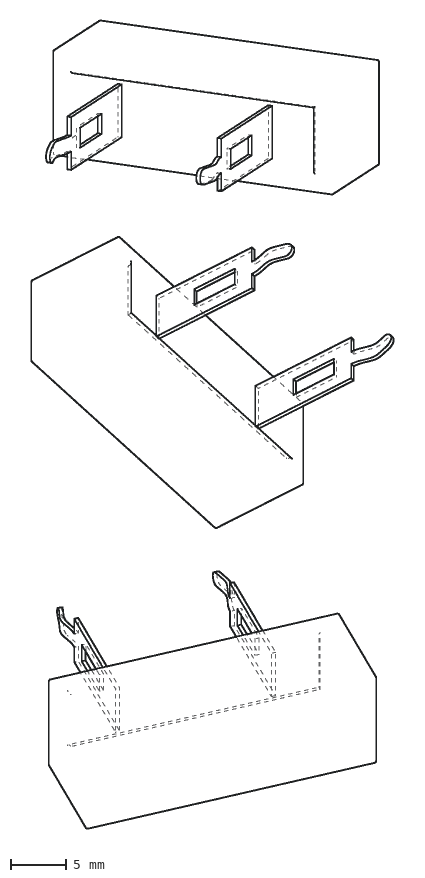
import cadquery as cq

case_length = 28.0
case_depth = 10.0
case_height = 10.0
edge_radius = 0.2

wall_thickness = 2.0
recess_depth = 0.5
recess_floor_radius = 0.08

terminal_spacing = 15.0
terminal_thickness = 0.4
blade_height = 5.0
blade_embedment = 0.28
blade_reach = 10.3
window_start = 3.78
window_length = 4.55
window_height = 1.9

overall_depth = 24.8
tail_height = 1.5
tail_radius = tail_height / 2
tail_reach = overall_depth - case_depth
tail_length = tail_reach - blade_reach
knee_offset = 0.125
knee_position = 0.9
crest_offset = 0.45


def make_case():
    case = (
        cq.Workplane("XY")
        .box(case_length, case_depth, case_height)
        .edges()
        .fillet(edge_radius)
        .translate((0, case_depth / 2, 0))
    )
    recess = (
        cq.Workplane("XY")
        .box(case_length - 2 * wall_thickness, recess_depth, case_height - 2 * wall_thickness)
        .faces(">Y")
        .edges()
        .fillet(recess_floor_radius)
        .translate((0, recess_depth / 2, 0))
    )
    rim = cq.selectors.BoxSelector(
        (-case_length / 2 + edge_radius * 2, -edge_radius / 2, -case_height / 2 + edge_radius * 2),
        (case_length / 2 - edge_radius * 2, edge_radius / 2, case_height / 2 - edge_radius * 2),
    )
    return case.cut(recess).edges(rim).fillet(edge_radius)


def make_blade():
    """Flat windowed plate, centred on X = 0."""
    blade_length = blade_reach + recess_depth + blade_embedment
    window_centre = window_start + window_length / 2
    plate = cq.Workplane("XY").box(terminal_thickness, blade_length, blade_height)
    window = cq.Workplane("XY").box(2 * terminal_thickness, window_length, window_height)
    plate = plate.translate((0, blade_length / 2 - blade_reach, 0))
    return plate.cut(window.translate((0, -window_centre, 0)))


def make_tail():
    """Round-ended strip bulging towards +X, of constant thickness along X."""
    wave = [
        (0, 0),
        (knee_offset, knee_position),
        (crest_offset, tail_length / 2),
        (knee_offset, tail_length - knee_position),
        (0, tail_length),
    ]
    half = terminal_thickness / 2
    outer_side = [(offset + half, -blade_reach - position) for offset, position in wave]
    inner_side = [(offset - half, -blade_reach - position) for offset, position in reversed(wave)]
    ribbon = (
        cq.Workplane("XY", origin=(0, 0, -tail_radius))
        .moveTo(*outer_side[0])
        .spline(outer_side[1:], includeCurrent=True)
        .lineTo(*inner_side[0])
        .spline(inner_side[1:], includeCurrent=True)
        .close()
        .extrude(tail_height)
    )
    side_outline = (
        cq.Workplane("YZ")
        .moveTo(-blade_reach, tail_radius)
        .lineTo(tail_radius - tail_reach, tail_radius)
        .threePointArc((-tail_reach, 0), (tail_radius - tail_reach, -tail_radius))
        .lineTo(-blade_reach, -tail_radius)
        .close()
        .extrude(crest_offset + terminal_thickness, both=True)
    )
    return ribbon.intersect(side_outline)


right_terminal = make_blade().union(make_tail()).translate((terminal_spacing / 2, 0, 0))
left_terminal = right_terminal.mirror("YZ")

result = make_case().union(right_terminal).union(left_terminal)